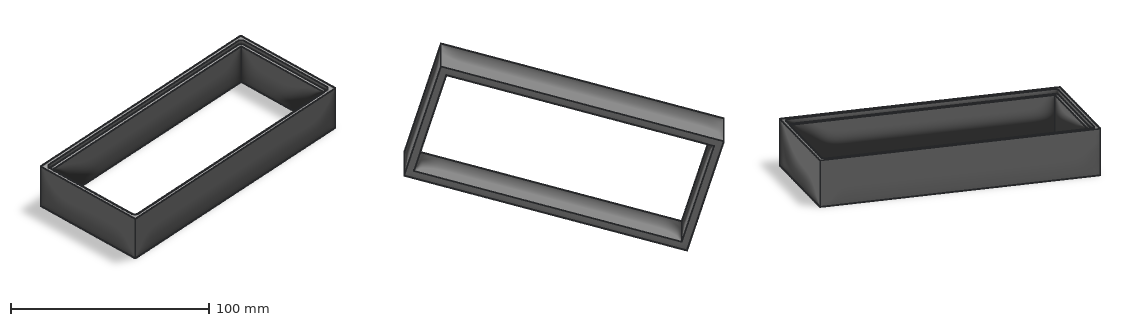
import cadquery as cq

width = 65.0
length = 149.0
height = 25.0

wall = 4.0
rim = 2.1
rebate_depth = 2.5
rebate_corner_radius = 2.1

frame = cq.Workplane("XY").box(width, length, height, centered=(True, True, False))

opening = cq.Workplane("XY").box(
    width - 2 * wall, length - 2 * wall, height, centered=(True, True, False)
)

rebate = (
    cq.Workplane("XY")
    .workplane(offset=height - rebate_depth)
    .rect(width - 2 * rim, length - 2 * rim)
    .extrude(rebate_depth)
    .edges("|Z")
    .fillet(rebate_corner_radius)
)

result = frame.cut(opening).cut(rebate)